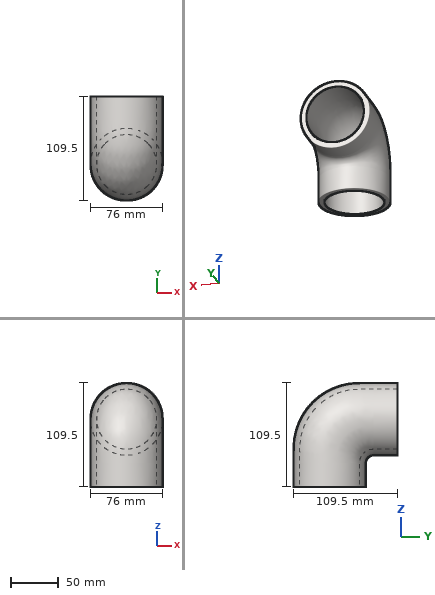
import cadquery as cq
import math

outer_diameter = 76.0
bore_diameter = 63.0
overall_length = 109.5
collar_length = 25.0
outer_back_radius = 69.0
rim_radius = 0.5
arc_steps = 10

wall = (outer_diameter - bore_diameter) / 2
axis_reach = overall_length - outer_diameter / 2
pivot_distance = axis_reach - collar_length


def collar(diameter):
    """Vertical straight end, standing on the lower opening at the origin."""
    return cq.Workplane("XY").circle(diameter / 2).extrude(collar_length)


def back_reach(angle, straight_distance, back_radius):
    """Distance from the pivot to the back, which runs straight, arc, straight."""
    arc_centre = straight_distance - back_radius
    angle_from_end = min(angle, math.pi / 2 - angle)
    if angle_from_end <= math.atan2(arc_centre, straight_distance):
        return straight_distance / math.cos(angle_from_end)
    along = arc_centre * (math.cos(angle) + math.sin(angle))
    return along + math.sqrt(along**2 - 2 * arc_centre**2 + back_radius**2)


def section_angles(straight_angle):
    """Section angles: both ends of the bend, and even steps along the arc of the back."""
    arc_angle = math.pi / 2 - 2 * straight_angle
    arc_part = [straight_angle + arc_angle * step / arc_steps for step in range(arc_steps + 1)]
    return [0] + arc_part + [math.pi / 2]


def ellipse_wire(plane, half_width, half_depth):
    """Closed ellipse whose seam lies on the +X side, whichever axis is longer."""
    if half_depth > half_width:
        return cq.Wire.makeEllipse(
            half_depth, half_width, plane.origin, plane.zDir, plane.yDir, -90, 270
        )
    return cq.Wire.makeEllipse(half_width, half_depth, plane.origin, plane.zDir, plane.xDir)


def bend(diameter, back_radius):
    """Quarter turn through elliptical sections that fan out from the pivot axis."""
    throat_radius = pivot_distance - diameter / 2
    straight_distance = pivot_distance + diameter / 2
    straight_angle = math.atan2(straight_distance - back_radius, straight_distance)
    pivot = cq.Vector(0, pivot_distance, collar_length)
    sections = []
    for angle in section_angles(straight_angle):
        reach = back_reach(angle, straight_distance, back_radius)
        outward = cq.Vector(0, -math.cos(angle), math.sin(angle))
        travel = cq.Vector(0, math.sin(angle), math.cos(angle))
        centre = pivot + outward * ((throat_radius + reach) / 2)
        plane = cq.Plane(origin=centre, xDir=(1, 0, 0), normal=travel)
        sections.append(ellipse_wire(plane, diameter / 2, (reach - throat_radius) / 2))
    return cq.Workplane(cq.Solid.makeLoft(sections))


def rear_end(lower_end):
    """Copy of the lower end, turned and moved to the opening that faces +Y."""
    turned = lower_end.rotate((0, 0, 0), (1, 0, 0), 90)
    return turned.translate((0, axis_reach, axis_reach))


lower_collar = collar(outer_diameter).faces("<Z").edges().fillet(rim_radius)
lower_bore = collar(bore_diameter)

outer_bend = bend(outer_diameter, outer_back_radius)
bore_bend = bend(bore_diameter, outer_back_radius - wall)

body = outer_bend.union(lower_collar).union(rear_end(lower_collar))
bore = bore_bend.union(lower_bore).union(rear_end(lower_bore))

result = body.cut(bore).solids()